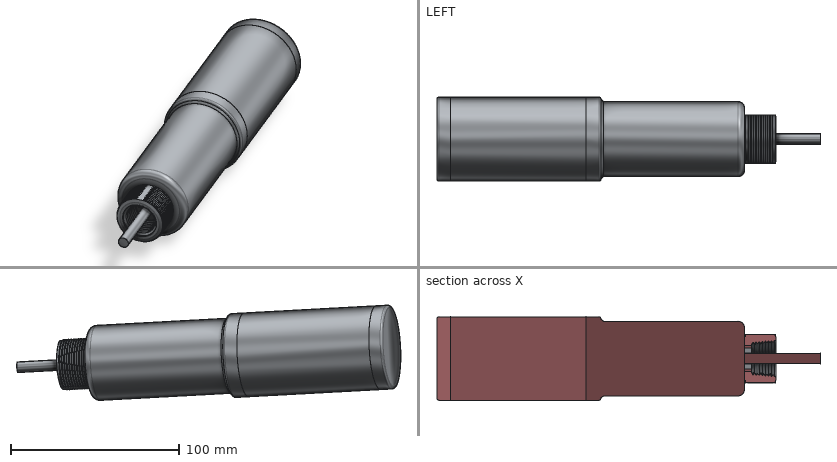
import cadquery as cq
import math

overall_length = 228.2

barrel_diameter = 50.0
barrel_radius = barrel_diameter / 2
cap_length = 8.2
cap_fillet = 1.4
tube_length = 80.5
collar_length = 7.5
collar_round = 1.4
collar_cone_length = 1.4
housing_radius = 22.4
housing_nose_fillet = 4.0
housing_front_y = 45.2

nipple_length = 18.7
land_radius = 14.5
land_length = 1.8
thread_crest_radius = 15.0
thread_depth = 0.57
thread_root_radius = thread_crest_radius - thread_depth
outer_thread_count = 10
flat_height = 14.4
nipple_chamfer_radial = 2.0
nipple_chamfer_length = 0.57

bore_mouth_radius = 10.7
bore_end_radius = 9.5
bore_thread_depth = 1.4
bore_thread_count = 8
bore_thread_pitch = 1.8

cable_radius = 3.2
grommet_radius = 7.5
slit_reach = 6.2
slit_width = 0.7
slit_count = 4

cap_front_y = overall_length - cap_length
tube_front_y = cap_front_y - tube_length
nipple_tip_y = housing_front_y - nipple_length
grommet_length = nipple_length - bore_thread_count * bore_thread_pitch
grommet_front_y = housing_front_y - grommet_length


def cylinder(radius, start_y, end_y):
    """Round bar about the Y axis."""
    return cq.Workplane("XZ", origin=(0, start_y, 0)).circle(radius).extrude(start_y - end_y)


def revolve_about_y(points):
    """Turn a closed (radius, y) outline about the Y axis."""
    return cq.Workplane("XY").polyline(points).close().revolve(360, (0, 0, 0), (0, 1, 0))


def make_cap():
    return cylinder(barrel_radius, cap_front_y, overall_length).faces(">Y").edges().fillet(cap_fillet)


def make_tube():
    return cylinder(barrel_radius, tube_front_y, cap_front_y)


def make_housing():
    collar_end_y = tube_front_y - collar_length
    round_end_y = collar_end_y - collar_round
    cone_end_y = round_end_y - collar_cone_length
    nose_start_y = housing_front_y + housing_nose_fillet
    diagonal = math.sqrt(0.5)
    return (
        cq.Workplane("XY")
        .moveTo(0, tube_front_y)
        .lineTo(barrel_radius, tube_front_y)
        .lineTo(barrel_radius, collar_end_y)
        .threePointArc(
            (barrel_radius - collar_round * (1 - diagonal), collar_end_y - collar_round * diagonal),
            (barrel_radius - collar_round, round_end_y),
        )
        .lineTo(housing_radius, cone_end_y)
        .lineTo(housing_radius, nose_start_y)
        .threePointArc(
            (housing_radius - housing_nose_fillet * (1 - diagonal),
             nose_start_y - housing_nose_fillet * diagonal),
            (housing_radius - housing_nose_fillet, housing_front_y),
        )
        .lineTo(0, housing_front_y)
        .close()
        .revolve(360, (0, 0, 0), (0, 1, 0))
    )


def outer_thread_points(start_y, end_y):
    """Zigzag from root to crest and back for each thread turn."""
    pitch = (end_y - start_y) / outer_thread_count
    points = [(thread_root_radius, start_y)]
    for turn in range(outer_thread_count):
        turn_y = start_y + turn * pitch
        points.append((thread_crest_radius, turn_y + pitch / 2))
        points.append((thread_root_radius, turn_y + pitch))
    return points


def bore_thread_points():
    """Zigzag from the floor of the bore out to its mouth, widening along the taper."""
    taper = (bore_mouth_radius - bore_end_radius) / bore_thread_count
    points = []
    for turn in range(bore_thread_count):
        turn_y = grommet_front_y - turn * bore_thread_pitch
        crest_radius = bore_end_radius + turn * taper - bore_thread_depth
        root_radius = bore_end_radius + (turn + 0.5) * taper
        points.append((crest_radius, turn_y))
        points.append((root_radius, turn_y - bore_thread_pitch / 2))
    points.append((bore_mouth_radius, nipple_tip_y))
    return points


def make_nipple():
    outside = [
        (0, nipple_tip_y),
        (land_radius - nipple_chamfer_radial, nipple_tip_y),
        (land_radius, nipple_tip_y + nipple_chamfer_length),
        (land_radius, nipple_tip_y + land_length),
        *outer_thread_points(nipple_tip_y + land_length, housing_front_y - land_length),
        (land_radius, housing_front_y - land_length),
        (land_radius, housing_front_y - nipple_chamfer_length),
        (land_radius - nipple_chamfer_radial, housing_front_y),
        (0, housing_front_y),
    ]
    bore = [(0, grommet_front_y), *bore_thread_points(), (0, nipple_tip_y)]
    flats = cq.Workplane("XY", origin=(0, nipple_tip_y + nipple_length / 2, 0)).box(
        2 * thread_crest_radius, nipple_length, 2 * flat_height
    )
    seat = cylinder(grommet_radius, grommet_front_y, housing_front_y)
    return revolve_about_y(outside).intersect(flats).cut(revolve_about_y(bore)).cut(seat)


def make_grommet():
    grommet = cylinder(grommet_radius, grommet_front_y, housing_front_y)
    slit = cq.Workplane("XY").box(slit_reach, grommet_length, slit_width).translate(
        (slit_reach / 2, grommet_front_y + grommet_length / 2, 0)
    )
    for index in range(slit_count):
        grommet = grommet.cut(slit.rotate((0, 0, 0), (0, 1, 0), index * 360 / slit_count))
    return grommet.cut(cylinder(cable_radius, grommet_front_y, housing_front_y))


def make_cable():
    return cylinder(cable_radius, 0, housing_front_y)


cap = make_cap()
tube = make_tube()
housing = make_housing()
nipple = make_nipple()
grommet = make_grommet()
cable = make_cable()

result = cq.Compound.makeCompound(
    [cap.val(), tube.val(), housing.val(), nipple.val(), grommet.val(), cable.val()]
)